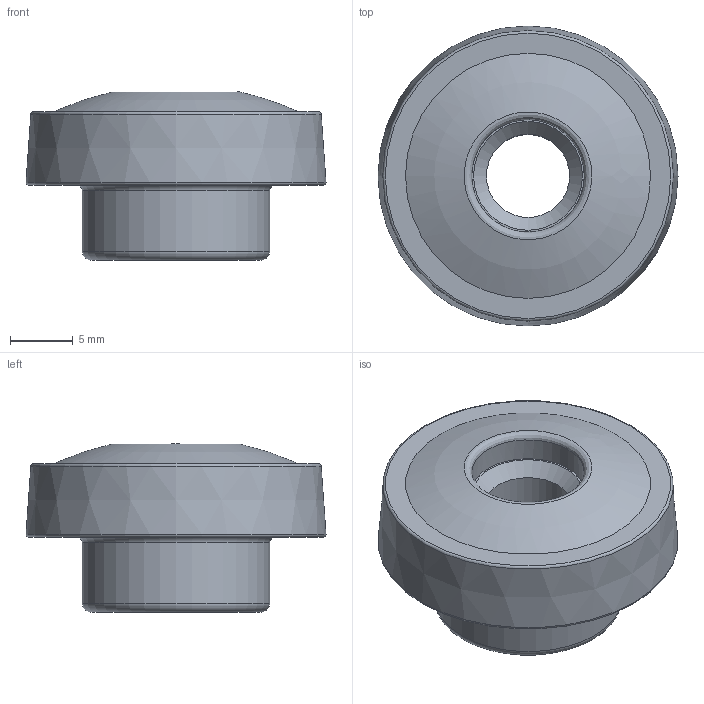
import cadquery as cq
import math

overall_height = 13.45

stem_radius = 15.0 / 2
stem_length = 6.0
stem_end_fillet = 0.7
stem_root_fillet = 0.45

outer_diameter = 24.0
flange_taper_angle = math.radians(4.0)
flange_edge_fillet = 0.2

dome_base_radius = 9.8
dome_sphere_radius = 23.5

counterbore_radius = 9.0 / 2
counterbore_depth = 2.35
rim_fillet = 0.5
step_width = 0.15
hole_radius = 6.65 / 2

rim_arc_radius = counterbore_radius + rim_fillet
rim_arc_height = overall_height - rim_fillet
sphere_center = rim_arc_height - math.sqrt((dome_sphere_radius - rim_fillet) ** 2 - rim_arc_radius**2)
flange_top = sphere_center + math.sqrt(dome_sphere_radius**2 - dome_base_radius**2)
dome_apex = sphere_center + dome_sphere_radius

flange_slope = math.tan(flange_taper_angle)
flange_base_radius = outer_diameter / 2 + flange_edge_fillet * (
    1 / math.cos(flange_taper_angle) + flange_slope - 1
)
flange_top_radius = flange_base_radius - (flange_top - stem_length) * flange_slope


def revolve_about_z(profile):
    """Turn a closed profile, drawn as (radius, height) points, about the Z axis."""
    return profile.close().revolve(360, (0, 0, 0), (0, 1, 0))


def make_stem():
    """Cylinder with a rounded free end and a concave flare where it meets the flange."""
    flare_radius = stem_radius + stem_root_fillet
    flare_start = stem_length - stem_root_fillet
    profile = (
        cq.Workplane("XZ")
        .lineTo(stem_radius, 0)
        .lineTo(stem_radius, flare_start)
        .threePointArc(
            (
                flare_radius - stem_root_fillet * math.cos(math.pi / 4),
                flare_start + stem_root_fillet * math.sin(math.pi / 4),
            ),
            (flare_radius, stem_length),
        )
        .lineTo(0, stem_length)
    )
    return revolve_about_z(profile).edges("<Z").fillet(stem_end_fillet)


def make_flange():
    """Tapered disc with rounded upper and lower edges."""
    profile = (
        cq.Workplane("XZ")
        .moveTo(0, stem_length)
        .lineTo(flange_base_radius, stem_length)
        .lineTo(flange_top_radius, flange_top)
        .lineTo(0, flange_top)
    )
    return revolve_about_z(profile).edges("<Z or >Z").fillet(flange_edge_fillet)


def make_dome():
    """Spherical cap standing on the flange."""
    middle_radius = dome_base_radius / 2
    middle_height = sphere_center + math.sqrt(dome_sphere_radius**2 - middle_radius**2)
    profile = (
        cq.Workplane("XZ")
        .moveTo(0, flange_top)
        .lineTo(dome_base_radius, flange_top)
        .threePointArc((middle_radius, middle_height), (0, dome_apex))
    )
    return revolve_about_z(profile)


def make_bore():
    """Volume removed along the axis, from the dome apex through to the stem end."""
    step_height = overall_height - counterbore_depth
    cone_top_radius = counterbore_radius - step_width
    cone_depth = cone_top_radius - hole_radius
    cone_bottom = step_height - cone_depth
    profile = (
        cq.Workplane("XZ")
        .lineTo(hole_radius, 0)
        .lineTo(hole_radius, cone_bottom)
        .lineTo(cone_top_radius, step_height)
        .lineTo(counterbore_radius, step_height)
        .lineTo(counterbore_radius, dome_apex)
        .lineTo(0, dome_apex)
    )
    return revolve_about_z(profile)


body = make_stem().union(make_flange()).union(make_dome())
bored_body = body.cut(make_bore())
result = bored_body.edges(">Z").fillet(rim_fillet)